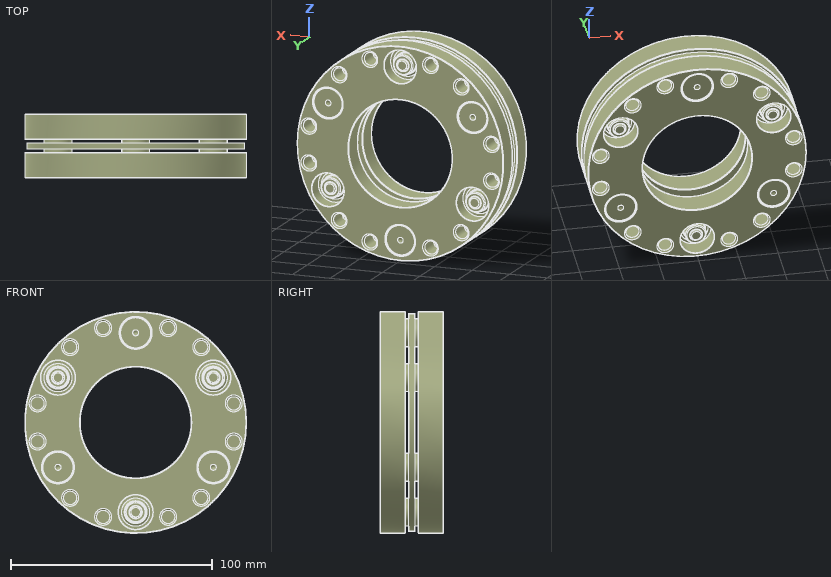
import cadquery as cq
import math

OUTER_DIAMETER = 110.0
TOTAL_WIDTH = 31.7

FLANGE_GAP = 6.3
FLANGE_THICKNESS = (TOTAL_WIDTH - FLANGE_GAP) / 2
BORE_DIAMETER = 55.0
EDGE_CHAMFER = 0.3

RING_THICKNESS = 3.2
RING_OUTER_DIAMETER = 108.0
RING_INNER_DIAMETER = 65.0

STATION_COUNT = 6
FIRST_STATION_ANGLE = 30.0
STATION_ANGLES = [FIRST_STATION_ANGLE + i * 360 / STATION_COUNT for i in range(STATION_COUNT)]
STATION_RADIUS = 44.4
SPACER_DIAMETER = 14.0

POCKET_DEPTH = 8.8
POCKET_CHAMFER = 0.2

HEAD_DIAMETER = 15.0
HEAD_POCKET_DIAMETER = 16.0
HEAD_SINK = 0.3
CENTER_MARK_DIAMETER = 3.0
CENTER_MARK_DEPTH = 0.7

NUT_POCKET_DIAMETER = 17.0
STUD_DIAMETER = 6.0
STUD_TIP_DIAMETER = 4.7
STUD_TIP_DEPTH = 2.6
NUT_TOP_DEPTH = 3.5
NUT_MOUTH_DIAMETER = 6.6
NUT_TOP_DIAMETER = 9.4
NUT_DIAMETER = 10.5
WASHER_TOP_DIAMETER = 11.3
WASHER_DIAMETER = SPACER_DIAMETER
WASHER_HEIGHT = 0.8

HOLE_RADIUS = 49.5
HOLE_DIAMETER = 6.6
HOLE_CHAMFER = 0.9
HOLE_PAIR_COUNT = 6
HALF_PAIR_ANGLE = 11.0

FACE_Y = -TOTAL_WIDTH / 2
INNER_FACE_Y = FACE_Y + FLANGE_THICKNESS


def place(angle, radius):
    """Return the (x, z) point at a polar position around the coupling axis."""
    a = math.radians(angle)
    return radius * math.cos(a), radius * math.sin(a)


def revolve_profile(points, angle=0.0, radius=0.0):
    """Revolve (radius, y) points about a line parallel to Y."""
    x, z = place(angle, radius)
    solid = cq.Workplane("XY").polyline(points).close().revolve(360, (0, 0, 0), (0, 1, 0))
    return solid.translate((x, 0, z))


def cylinder(diameter, y_start, y_end, angle=0.0, radius=0.0):
    r = diameter / 2
    return revolve_profile([(0, y_start), (r, y_start), (r, y_end), (0, y_end)], angle, radius)


def chamfered_hole(diameter, chamfer, depth, angle, radius):
    """Round cutter from the flange face with a 45 degree chamfered mouth."""
    r = diameter / 2
    points = [
        (0, FACE_Y),
        (r + chamfer, FACE_Y),
        (r, FACE_Y + chamfer),
        (r, FACE_Y + depth),
        (0, FACE_Y + depth),
    ]
    return revolve_profile(points, angle, radius)


def bolt_head(angle):
    head_y = FACE_Y + HEAD_SINK
    floor_y = FACE_Y + POCKET_DEPTH
    points = [
        (0, head_y + CENTER_MARK_DEPTH),
        (CENTER_MARK_DIAMETER / 2, head_y),
        (HEAD_DIAMETER / 2, head_y),
        (HEAD_DIAMETER / 2, floor_y),
        (0, floor_y),
    ]
    return revolve_profile(points, angle, STATION_RADIUS)


def nut_and_stud(angle):
    floor_y = FACE_Y + POCKET_DEPTH
    washer_y = floor_y - WASHER_HEIGHT
    stud_tip_y = FACE_Y + STUD_TIP_DEPTH
    nut_top_y = FACE_Y + NUT_TOP_DEPTH
    stud_chamfer = (STUD_DIAMETER - STUD_TIP_DIAMETER) / 2
    mouth_chamfer = (NUT_MOUTH_DIAMETER - STUD_DIAMETER) / 2
    nut_chamfer = (NUT_DIAMETER - NUT_TOP_DIAMETER) / 2
    points = [
        (0, stud_tip_y),
        (STUD_TIP_DIAMETER / 2, stud_tip_y),
        (STUD_DIAMETER / 2, stud_tip_y + stud_chamfer),
        (STUD_DIAMETER / 2, nut_top_y + mouth_chamfer),
        (NUT_MOUTH_DIAMETER / 2, nut_top_y),
        (NUT_TOP_DIAMETER / 2, nut_top_y),
        (NUT_DIAMETER / 2, nut_top_y + nut_chamfer),
        (NUT_DIAMETER / 2, washer_y),
        (WASHER_TOP_DIAMETER / 2, washer_y),
        (WASHER_DIAMETER / 2, floor_y),
        (0, floor_y),
    ]
    return revolve_profile(points, angle, STATION_RADIUS)


def flange():
    """Front flange with its holes, and its pockets holding nuts and bolt heads in turn."""
    body = cylinder(OUTER_DIAMETER, FACE_Y, INNER_FACE_Y)
    body = body.cut(cylinder(BORE_DIAMETER, FACE_Y, INNER_FACE_Y))
    body = body.edges().chamfer(EDGE_CHAMFER)
    for pair in range(HOLE_PAIR_COUNT):
        for side in (-1, 1):
            angle = pair * 360 / HOLE_PAIR_COUNT + side * HALF_PAIR_ANGLE
            body = body.cut(
                chamfered_hole(HOLE_DIAMETER, HOLE_CHAMFER, FLANGE_THICKNESS, angle, HOLE_RADIUS)
            )
    for i, angle in enumerate(STATION_ANGLES):
        is_nut = i % 2 == 0
        diameter = NUT_POCKET_DIAMETER if is_nut else HEAD_POCKET_DIAMETER
        fastener = nut_and_stud(angle) if is_nut else bolt_head(angle)
        pocket = chamfered_hole(diameter, POCKET_CHAMFER, POCKET_DEPTH, angle, STATION_RADIUS)
        body = body.cut(pocket).union(fastener)
    return body


def middle_ring():
    half = RING_THICKNESS / 2
    ring = cylinder(RING_OUTER_DIAMETER, -half, half)
    return ring.cut(cylinder(RING_INNER_DIAMETER, -half, half))


front_flange = flange()
back_flange = front_flange.rotate((0, 0, 0), (1, 0, 0), 180)
result = middle_ring().union(front_flange).union(back_flange)
for station_angle in STATION_ANGLES:
    spacer = cylinder(SPACER_DIAMETER, INNER_FACE_Y, -INNER_FACE_Y, station_angle, STATION_RADIUS)
    result = result.union(spacer)